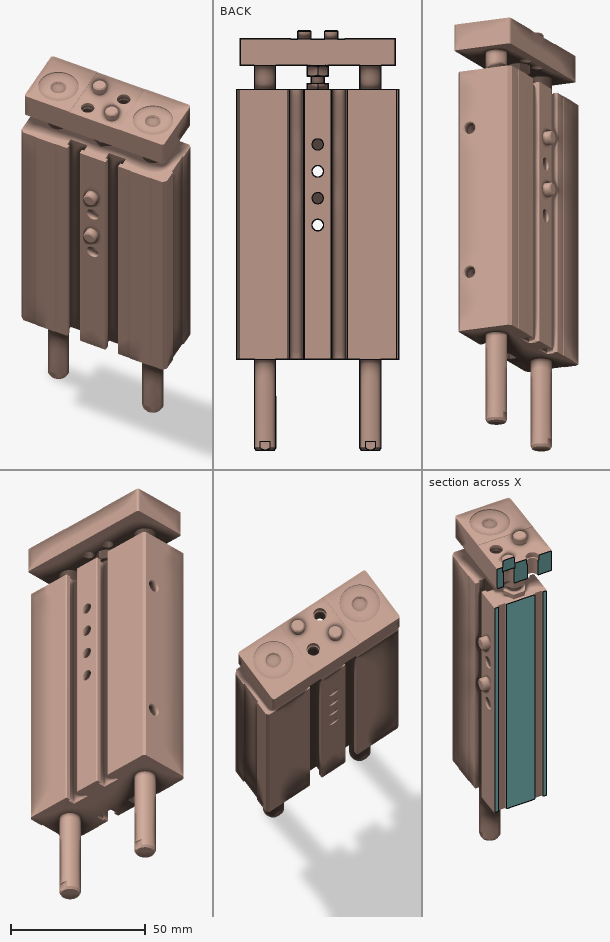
import cadquery as cq
import math


OVERALL_HEIGHT = 155.6
OVERALL_DEPTH = 27.0

HOUSING_WIDTH = 60.0
HOUSING_DEPTH = 22.0
HOUSING_HEIGHT = 100.0
FRONT_CHAMFER = 1.4
BACK_CHAMFER = 1.0
FRONT_Y = -HOUSING_DEPTH / 2

SLOT_OFFSET = 8.0
SLOT_MOUTH = 5.1
SLOT_DEPTH = 4.8
SLOT_LIP = 1.9
SLOT_UNDERCUT = 1.0
SLOT_BEVEL_WIDTH = 0.5
SLOT_BEVEL_DEPTH = 0.2

STRIP_DEPTH = 0.2
SIDE_GROOVE_WIDTH = 8.9
SIDE_GROOVE_DEPTH = 0.5

PIN_DIAMETER = 5.0
PIN_CHAMFER = 0.5
SEAT_DEPTH = 2.5
BORE_DIAMETER = 4.2
HOLE_PITCH = 10.0
TOP_HOLE_DROP = 20.4
HOUSING_HOLE_COUNT = 4

PORT_DIAMETER = 4.2
PORT_RIM_DIAMETER = 5.0
PORT_DEPTH = 3.1
PORT_TIP_ANGLE = 118
PORT_Y = 6.0
PORT_END_DISTANCE = 22.3

ROD_DIAMETER = 8.0
ROD_SPACING = 39.0
ROD_CHAMFER_HEIGHT = 1.0
ROD_CHAMFER_WIDTH = 0.55
ROD_ACROSS_FLATS = 7.0
ROD_FLAT_HEIGHT = 3.3

PLATE_WIDTH = 57.5
PLATE_DEPTH = 23.0
PLATE_HEIGHT = 10.0
PLATE_BACK_Y = 13.0
PLATE_GAP = 8.9
PLATE_CORNER_RADIUS = 1.0
MIDDLE_RELIEF_WIDTH = 20.0
MIDDLE_RELIEF_DEPTH = 0.2
ROUND_RELIEF_DIAMETER = 15.0
ROUND_RELIEF_DEPTH = 0.5
SOCKET_RIM_DIAMETER = 6.0
SOCKET_DIAMETER = 5.0
SOCKET_DEPTH = 0.6

NECK_DIAMETER = 5.0
NUT_ACROSS_FLATS = 8.0
UPPER_NUT_HEIGHT = 4.0
LOWER_NUT_HEIGHT = 2.2
NUT_FACE_DIAMETER = 7.5
NUT_CHAMFER_ANGLE = 30

PLATE_FRONT_Y = PLATE_BACK_Y - PLATE_DEPTH
PLATE_BOTTOM = HOUSING_HEIGHT + PLATE_GAP
PLATE_TOP = PLATE_BOTTOM + PLATE_HEIGHT
PIN_PROJECTION = OVERALL_DEPTH - PLATE_BACK_Y + FRONT_Y
ROD_BOTTOM = PLATE_TOP + PIN_PROJECTION - OVERALL_HEIGHT
ROD_XS = (-ROD_SPACING / 2, ROD_SPACING / 2)
PORT_ZS = (PORT_END_DISTANCE, HOUSING_HEIGHT - PORT_END_DISTANCE)

HOUSING_HOLE_ZS = [HOUSING_HEIGHT - TOP_HOLE_DROP - i * HOLE_PITCH for i in range(HOUSING_HOLE_COUNT)]
HOUSING_PIN_ZS = HOUSING_HOLE_ZS[::2]

HALF_PITCH = HOLE_PITCH / 2
PLATE_PIN_POINTS = [(-HALF_PITCH, HALF_PITCH), (HALF_PITCH, -HALF_PITCH)]
PLATE_OPEN_POINTS = [(HALF_PITCH, HALF_PITCH), (-HALF_PITCH, -HALF_PITCH)]


def box(x_range, y_range, z_range):
    """A box given by its start and end along each axis."""
    sizes = [end - start for start, end in (x_range, y_range, z_range)]
    corner = (x_range[0], y_range[0], z_range[0])
    return cq.Workplane("XY").box(*sizes, centered=False).translate(corner)


def seated_holes(face, points, depth):
    """Cutters for pin holes that run against the normal of the workplane `face`."""
    seats = face.pushPoints(points).circle(PIN_DIAMETER / 2).extrude(-SEAT_DEPTH)
    bores = face.pushPoints(points).circle(BORE_DIAMETER / 2).extrude(-depth)
    return seats.union(bores)


def t_slot(x, side):
    """Cutter for a T-slot at x, in the front (side -1) or the back (side 1)."""
    mouth = SLOT_MOUTH / 2
    cavity = mouth + SLOT_UNDERCUT
    half_outline = [
        (mouth + SLOT_BEVEL_WIDTH, 0),
        (mouth, SLOT_BEVEL_DEPTH),
        (mouth, SLOT_LIP),
        (cavity, SLOT_LIP),
        (cavity, SLOT_DEPTH),
    ]
    mirrored = [(-across, down) for across, down in reversed(half_outline)]
    outline = [(x + across, side * (HOUSING_DEPTH / 2 - down)) for across, down in half_outline + mirrored]
    return cq.Workplane("XY").polyline(outline).close().extrude(HOUSING_HEIGHT)


def relief_strips():
    """Cutters for the front strips on both sides of each guide rod."""
    rod_inner = (ROD_SPACING - ROD_DIAMETER) / 2
    rod_outer = (ROD_SPACING + ROD_DIAMETER) / 2
    y_range = (FRONT_Y, FRONT_Y + STRIP_DEPTH)
    z_range = (0, HOUSING_HEIGHT)
    strips = []
    for near, far in ((SLOT_OFFSET, rod_inner), (rod_outer, HOUSING_WIDTH / 2)):
        strips.append(box((near, far), y_range, z_range))
        strips.append(box((-far, -near), y_range, z_range))
    return strips


def air_port(z):
    """Cutter for a drilled port with a bevelled rim and a conical end."""
    radius = PORT_DIAMETER / 2
    rim = PORT_RIM_DIAMETER / 2
    tip = radius / math.tan(math.radians(PORT_TIP_ANGLE / 2))
    outline = [(0, 0), (0, rim), (rim - radius, radius), (PORT_DEPTH, radius), (PORT_DEPTH + tip, 0)]
    cutter = cq.Workplane("XY").polyline(outline).close().revolve(360, (0, 0, 0), (1, 0, 0))
    return cutter.translate((-HOUSING_WIDTH / 2, PORT_Y, z))


def make_housing():
    right = HOUSING_WIDTH / 2
    full_height = (0, HOUSING_HEIGHT)
    housing = box((-right, right), (FRONT_Y, -FRONT_Y), full_height)
    housing = housing.edges("|Z and <Y").chamfer(FRONT_CHAMFER)
    housing = housing.edges("|Z and >Y").chamfer(BACK_CHAMFER)

    for strip in relief_strips():
        housing = housing.cut(strip)
    for x in (-SLOT_OFFSET, SLOT_OFFSET):
        for side in (-1, 1):
            housing = housing.cut(t_slot(x, side))
    groove_half = SIDE_GROOVE_WIDTH / 2
    housing = housing.cut(box((right - SIDE_GROOVE_DEPTH, right), (-groove_half, groove_half), full_height))

    front_face = cq.Workplane("XZ", origin=(0, FRONT_Y, 0))
    housing = housing.cut(seated_holes(front_face, [(0, z) for z in HOUSING_HOLE_ZS], HOUSING_DEPTH))
    for z in PORT_ZS:
        housing = housing.cut(air_port(z))
    rod_points = [(x, 0) for x in ROD_XS]
    rod_bores = cq.Workplane("XY").pushPoints(rod_points).circle(ROD_DIAMETER / 2).extrude(HOUSING_HEIGHT)
    return housing.cut(rod_bores)


def hexagon(bottom, height):
    """A hexagonal prism with two flats facing -X and +X."""
    across_corners = NUT_ACROSS_FLATS / math.cos(math.pi / 6)
    prism = cq.Workplane("XY", origin=(0, 0, bottom)).polygon(6, across_corners).extrude(height)
    return prism.rotate((0, 0, 0), (0, 0, 1), 30)


def upper_nut():
    """The nut under the plate, its corners chamfered by a cone at both ends."""
    face_radius = NUT_FACE_DIAMETER / 2
    bottom = PLATE_BOTTOM - UPPER_NUT_HEIGHT
    middle = UPPER_NUT_HEIGHT / 2
    middle_radius = face_radius + middle / math.tan(math.radians(NUT_CHAMFER_ANGLE))
    outline = [
        (0, 0),
        (face_radius, 0),
        (middle_radius, middle),
        (face_radius, UPPER_NUT_HEIGHT),
        (0, UPPER_NUT_HEIGHT),
    ]
    double_cone = cq.Workplane("XZ").polyline(outline).close().revolve(360, (0, 0, 0), (0, 1, 0))
    return hexagon(bottom, UPPER_NUT_HEIGHT).intersect(double_cone.translate((0, 0, bottom)))


def rod_end_recess(x):
    """Cutter for the round relief above a guide rod and the bevelled socket in its floor."""
    floor = ROUND_RELIEF_DEPTH
    bevel = (SOCKET_RIM_DIAMETER - SOCKET_DIAMETER) / 2
    outline = [
        (0, 0),
        (ROUND_RELIEF_DIAMETER / 2, 0),
        (ROUND_RELIEF_DIAMETER / 2, -floor),
        (SOCKET_RIM_DIAMETER / 2, -floor),
        (SOCKET_DIAMETER / 2, -floor - bevel),
        (SOCKET_DIAMETER / 2, -floor - SOCKET_DEPTH),
        (0, -floor - SOCKET_DEPTH),
    ]
    cutter = cq.Workplane("XZ").polyline(outline).close().revolve(360, (0, 0, 0), (0, 1, 0))
    return cutter.translate((x, 0, PLATE_TOP))


def make_yoke():
    """The yoke plate with the piston rod's neck and its two nuts."""
    plate_right = PLATE_WIDTH / 2
    relief_right = MIDDLE_RELIEF_WIDTH / 2
    y_range = (PLATE_FRONT_Y, PLATE_BACK_Y)
    yoke = box((-plate_right, plate_right), y_range, (PLATE_BOTTOM, PLATE_TOP))
    yoke = yoke.edges("|Z").fillet(PLATE_CORNER_RADIUS)
    yoke = yoke.cut(box((-relief_right, relief_right), y_range, (PLATE_TOP - MIDDLE_RELIEF_DEPTH, PLATE_TOP)))

    top_face = cq.Workplane("XY", origin=(0, 0, PLATE_TOP))
    yoke = yoke.cut(seated_holes(top_face, PLATE_PIN_POINTS + PLATE_OPEN_POINTS, PLATE_HEIGHT))
    for x in ROD_XS:
        yoke = yoke.cut(rod_end_recess(x))

    neck = cq.Workplane("XY", origin=(0, 0, HOUSING_HEIGHT)).circle(NECK_DIAMETER / 2).extrude(PLATE_GAP)
    lower_nut = hexagon(HOUSING_HEIGHT, LOWER_NUT_HEIGHT)
    return yoke.union(neck).union(upper_nut()).union(lower_nut)


def make_guide_rod(x):
    """A guide rod up to the plate, with two wrench flats at its lower end."""
    radius = ROD_DIAMETER / 2
    flat = ROD_ACROSS_FLATS / 2
    flat_range = (ROD_BOTTOM, ROD_BOTTOM + ROD_FLAT_HEIGHT)
    rod = cq.Workplane("XY", origin=(0, 0, ROD_BOTTOM)).circle(radius).extrude(PLATE_BOTTOM - ROD_BOTTOM)
    rod = rod.faces("<Z").chamfer(ROD_CHAMFER_HEIGHT, ROD_CHAMFER_WIDTH)
    rod = rod.cut(box((-radius, radius), (flat, radius), flat_range))
    rod = rod.cut(box((-radius, radius), (-radius, -flat), flat_range))
    return rod.translate((x, 0, 0))


def make_pin():
    """An upright pin whose seat ends at Z = 0."""
    pin = cq.Workplane("XY", origin=(0, 0, -SEAT_DEPTH)).circle(PIN_DIAMETER / 2)
    return pin.extrude(SEAT_DEPTH + PIN_PROJECTION).faces(">Z").chamfer(PIN_CHAMFER)


housing = make_housing()
yoke = make_yoke()
guide_rods = [make_guide_rod(x) for x in ROD_XS]
forward_pin = make_pin().rotate((0, 0, 0), (1, 0, 0), 90)
housing_pins = [forward_pin.translate((0, FRONT_Y, z)) for z in HOUSING_PIN_ZS]
plate_pins = [make_pin().translate((x, y, PLATE_TOP)) for x, y in PLATE_PIN_POINTS]

repeated_bodies = guide_rods + housing_pins + plate_pins
result = cq.Compound.makeCompound([housing.val(), yoke.val(), *[body.val() for body in repeated_bodies]])